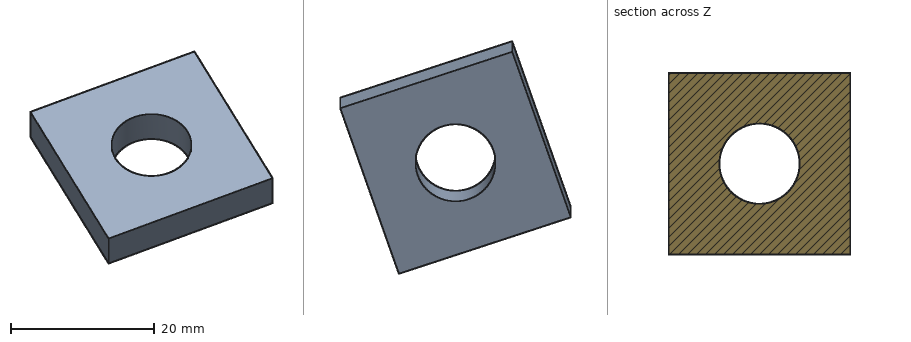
import cadquery as cq

side_length = 25.4
thickness = 5.5
hole_diameter = 11.18

result = (
    cq.Workplane("XY")
    .box(side_length, side_length, thickness)
    .faces(">Z")
    .workplane()
    .hole(hole_diameter)
)